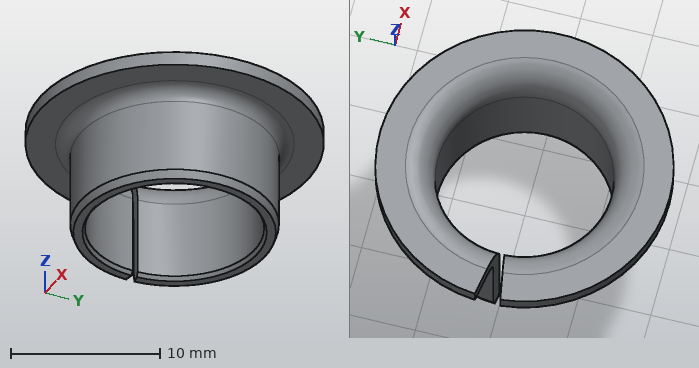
import math
import cadquery as cq

height = 8.0
bore_radius = 6.0
wall = 1.0
flange_radius = 10.0
flange_thickness = wall
neck_outer_radius = 1.0
lead_in_height = 0.6
lead_in_angle = 20.0
bore_chamfer_height = 0.3
bore_chamfer_angle = 30.0

split_half_angle = 10.0
split_apex_x = -5.0
cut_margin = 1.0

sleeve_radius = bore_radius + wall
neck_inner_radius = neck_outer_radius + wall
flange_bottom = height - flange_thickness
lead_in_width = lead_in_height * math.tan(math.radians(lead_in_angle))
bore_chamfer_width = bore_chamfer_height * math.tan(math.radians(bore_chamfer_angle))


def bushing_body():
    """Revolve the wall section (radius, Z) about Z, with the seam in the split at -X."""
    section = (
        cq.Workplane("XZ")
        .moveTo(bore_radius, bore_chamfer_height)
        .lineTo(bore_radius + bore_chamfer_width, 0)
        .lineTo(sleeve_radius - lead_in_width, 0)
        .lineTo(sleeve_radius, lead_in_height)
        .lineTo(sleeve_radius, flange_bottom - neck_outer_radius)
        .radiusArc((sleeve_radius + neck_outer_radius, flange_bottom), neck_outer_radius)
        .lineTo(flange_radius, flange_bottom)
        .lineTo(flange_radius, height)
        .lineTo(bore_radius + neck_inner_radius, height)
        .radiusArc((bore_radius, height - neck_inner_radius), -neck_inner_radius)
        .close()
    )
    body = section.revolve(360, (0, 0, 0), (0, 1, 0))
    return body.rotate((0, 0, 0), (0, 0, 1), 180)


def split_cutter():
    """Triangular prism that opens the wall over its full height."""
    outer_x = -(flange_radius + cut_margin)
    half_width = (split_apex_x - outer_x) * math.tan(math.radians(split_half_angle))
    outline = [(split_apex_x, 0), (outer_x, half_width), (outer_x, -half_width)]
    return cq.Workplane("XY").polyline(outline).close().extrude(height)


result = bushing_body().cut(split_cutter())